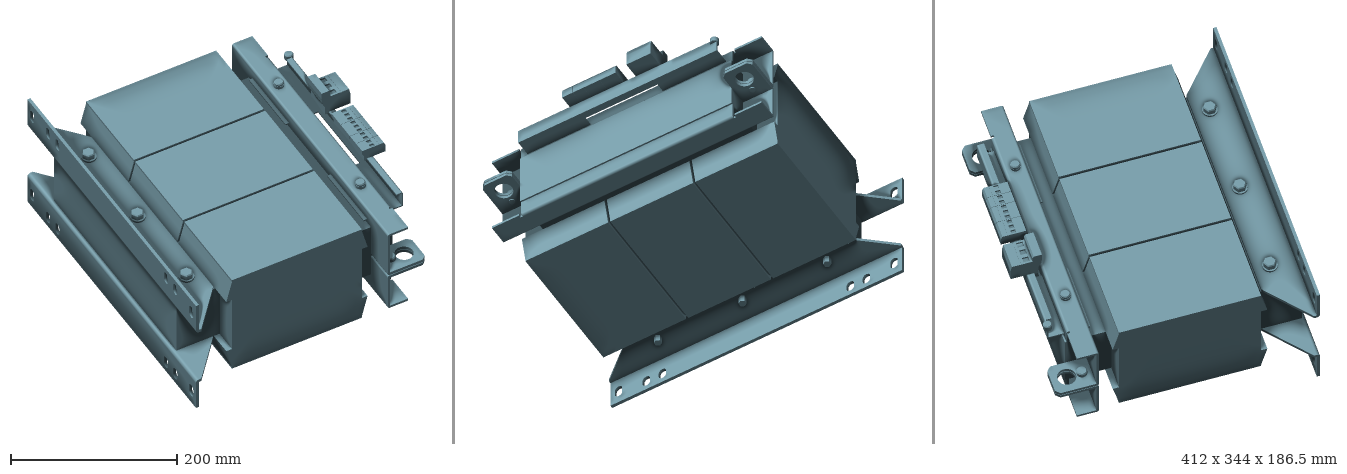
import cadquery as cq


OVERALL_X = 412.0
OVERALL_Y = 344.0
OVERALL_Z = 186.5
HEAD_CHAMFER = 1.2

FOOT_SPAN_Z = 170.0
MID_Z = FOOT_SPAN_Z / 2

CORE_X = 298.3
CORE_Z = 78.5
CORE_START_Y = 5.0
CORE_END_Y = 304.0
CORE_LOW_Z = MID_Z - CORE_Z / 2
CORE_HIGH_Z = MID_Z + CORE_Z / 2

COIL_X = 116.5
COIL_GAP = 3.5
COIL_PITCH = COIL_X + COIL_GAP
COIL_Z = 147.5
COIL_START_Y = 65.5
COIL_END_Y = 245.0
FLAP_REACH = 8.0
FLAP_TOP_DROP = 3.0
FLAP_CLEARANCE = 1.5

FOOT_SHEET = 4.0
FOOT_FLANGE_Y = 56.0
FOOT_STRAIGHT_Y = 7.5
FOOT_BEND = 4.5
END_SLOT_X = 194.5
END_SLOT_EDGE = 19.8
END_SLOT_LENGTH = 17.5
END_SLOT_WIDTH = 10.5
INNER_SLOT_XS = (132.5, 155.5)
INNER_SLOT_EDGE = 15.0
INNER_SLOT_LENGTH = 16.0
INNER_SLOT_WIDTH = 10.5
CORE_BOLT_Y = 36.0
CORE_BOLT_PITCH = 119.5
CORE_BOLT_WASHER = 19.0
CORE_BOLT_WASHER_Z = 2.5
CORE_BOLT_HEAD = 16.5
CORE_BOLT_HEAD_Z = 7.5
CORE_BOLT_SHANK = 6.5
CORE_BOLT_NUT = 10.0
CORE_BOLT_TAIL_Z = 10.0

CLAMP_X = 380.5
CLAMP_SHEET = 3.5
CLAMP_START_Y = 274.0
CLAMP_END_Y = 302.0
CLAMP_LOW_Z = 23.0
CLAMP_HIGH_Z = 146.0
CLAMP_BEND = 3.0
LIP_BEND = 3.7
CLAMP_NOTCH_X = 3.0
CLAMP_NOTCH_Y = 3.7
LUG_SPLIT_Z = 77.5
LUG_SHEET = 4.0
LUG_GAP = 1.0
LUG_END_Y = 328.0
LUG_X = (CLAMP_X - CORE_X) / 2
LUG_CORNER = 5.5
LUG_HOLE = 23.0
LUG_HOLE_Y = 308.0
LUG_MID_X = (CLAMP_X - LUG_X) / 2
LUG_BOLT_Y = 289.2
LUG_BOLT_HEAD = 13.0
LUG_BOLT_HEAD_Z = 5.8
LUG_BOLT_SHANK = 7.5
LUG_BOLT_TAIL_Z = 1.5

BRACKET_SHEET = 1.5
BRACKET_HALF_X = 140.0
BRACKET_INNER_X = 51.0
BRACKET_START_Y = 269.0
BRACKET_END_Y = 323.5
BRACKET_LOW_Z = 129.0
CLAMP_BOLT_X = 99.5
CLAMP_BOLT_Y = 287.5
CLAMP_BOLT_WASHER = 12.8
CLAMP_BOLT_HEAD = 12.0
CLAMP_BOLT_LAYER_Z = 3.7
CLAMP_BOLT_SHANK = 6.0
CLAMP_BOLT_NUT = 10.7
CLAMP_BOLT_NUT_Z = 2.0

RAIL_START_X = -129.0
RAIL_START_Y = 314.5
RAIL_HIGH_Z = 152.0
RAIL_BEND = 2.5
EARTH_SCREW_X = -136.0
EARTH_SCREW_Y = 321.8
EARTH_SCREW_LOW_Z = 145.0
EARTH_SCREW_Z = 8.2
EARTH_SCREW_HEAD = 11.0

BLOCK_TAIL_Y = 314.0
BLOCK_TAIL_Z = 150.0
LARGE_BLOCK_START_X = -59.5
LARGE_BLOCK_X = 34.0
LARGE_BLOCK_TOP_Z = 176.7
LARGE_BLOCK_POLES = 3
LARGE_HOLE_X = 6.5
LARGE_HOLE_Y = 8.0
SMALL_BLOCKS_START_X = -7.5
SMALL_BLOCKS_X = 76.0
SMALL_BLOCK_TOP_Z = 167.3
SMALL_BLOCK_POLES = (3, 3, 2, 2)
SMALL_HOLE_X = 4.5
SMALL_HOLE_Y = 6.0
BLOCK_JOINT = 0.5
WIRE_HOLE_MID_Y = 323.0
WIRE_HOLE_DEPTH = 2.5
GROOVE_Y = 331.0
GROOVE_WIDTH = 1.0
GROOVE_DEPTH = 0.5


def box(x0, x1, y0, y1, z0, z1):
    """Box between two opposite corners."""
    return cq.Workplane("XY").box(x1 - x0, y1 - y0, z1 - z0, centered=False).translate((x0, y0, z0))


def prism_along_x(points, x0, x1):
    """Extrude a closed (Y, Z) outline from x0 to x1."""
    return cq.Workplane("YZ").workplane(offset=x0).polyline(points).close().extrude(x1 - x0)


def disc(x, y, z0, z1, diameter):
    """Round bar along Z."""
    return cq.Workplane("XY").workplane(offset=z0).center(x, y).circle(diameter / 2).extrude(z1 - z0)


def hexagon(x, y, z0, z1, diameter):
    """Hexagonal bar along Z, sized across its corners, with two corners along Y."""
    bar = cq.Workplane("XY").polygon(6, diameter).extrude(z1 - z0)
    return bar.rotate((0, 0, 0), (0, 0, 1), 30).translate((x, y, z0))


def mirror_z(body):
    """Mirror image about the middle plane of the core stack."""
    return body.mirror("XY", (0, 0, MID_Z))


def make_core():
    """Laminated core with a narrow window between neighbouring coils."""
    core = box(-CORE_X / 2, CORE_X / 2, CORE_START_Y, CORE_END_Y, CORE_LOW_Z, CORE_HIGH_Z)
    for side in (-1, 1):
        middle = side * COIL_PITCH / 2
        x0 = middle - COIL_GAP / 2
        window = box(x0, x0 + COIL_GAP, COIL_START_Y, COIL_END_Y, CORE_LOW_Z, CORE_HIGH_Z)
        core = core.cut(window)
    return core


def make_coil(middle_x):
    """Block-shaped coil with sloping flaps at both ends of its two outer faces."""
    x0 = middle_x - COIL_X / 2
    x1 = middle_x + COIL_X / 2
    high_z = MID_Z + COIL_Z / 2
    slope_high_z = high_z - FLAP_TOP_DROP
    slope_low_z = CORE_HIGH_Z + FLAP_CLEARANCE
    coil = box(x0, x1, COIL_START_Y, COIL_END_Y, MID_Z - COIL_Z / 2, high_z)
    flaps = prism_along_x(
        [
            (COIL_START_Y, slope_high_z),
            (COIL_END_Y, slope_high_z),
            (COIL_END_Y + FLAP_REACH, slope_low_z),
            (COIL_START_Y - FLAP_REACH, slope_low_z),
        ],
        x0,
        x1,
    )
    return coil.union(flaps).union(mirror_z(flaps))


def foot_slot(x, edge, length, width):
    """Upright slot through the foot, placed by its distance from the outer edge."""
    return (
        cq.Workplane("XZ")
        .center(x, FOOT_SPAN_Z - edge)
        .slot2D(length, width, 90)
        .extrude(-FOOT_SHEET)
    )


def make_foot():
    """Upper angle foot: a slotted upright and a tapering flange on the core."""
    half = OVERALL_X / 2
    upright = box(-half, half, 0, FOOT_SHEET, CORE_HIGH_Z, FOOT_SPAN_Z)
    flange = (
        cq.Workplane("XY")
        .workplane(offset=CORE_HIGH_Z)
        .polyline(
            [
                (-half, 0),
                (half, 0),
                (half, FOOT_STRAIGHT_Y),
                (CORE_X / 2, FOOT_FLANGE_Y),
                (-CORE_X / 2, FOOT_FLANGE_Y),
                (-half, FOOT_STRAIGHT_Y),
            ]
        )
        .close()
        .extrude(FOOT_SHEET)
    )
    foot = upright.union(flange)
    foot = foot.edges("|X and <Y and <Z").fillet(FOOT_BEND)
    for side in (-1, 1):
        foot = foot.cut(foot_slot(side * END_SLOT_X, END_SLOT_EDGE, END_SLOT_LENGTH, END_SLOT_WIDTH))
        for x in INNER_SLOT_XS:
            foot = foot.cut(foot_slot(side * x, INNER_SLOT_EDGE, INNER_SLOT_LENGTH, INNER_SLOT_WIDTH))
    return foot


def make_core_bolt(x):
    """Bolt through core and feet: washer and hexagon head above, nut below."""
    seat_z = CORE_HIGH_Z + FOOT_SHEET
    under_z = CORE_LOW_Z - FOOT_SHEET
    head_z = seat_z + CORE_BOLT_WASHER_Z
    washer = disc(x, CORE_BOLT_Y, seat_z, head_z, CORE_BOLT_WASHER)
    head = hexagon(x, CORE_BOLT_Y, head_z, head_z + CORE_BOLT_HEAD_Z, CORE_BOLT_HEAD)
    head = head.faces(">Z").chamfer(HEAD_CHAMFER)
    shank = disc(x, CORE_BOLT_Y, under_z, seat_z, CORE_BOLT_SHANK)
    nut = hexagon(x, CORE_BOLT_Y, under_z - CORE_BOLT_TAIL_Z, under_z, CORE_BOLT_NUT)
    return washer.union(head).union(shank).union(nut)


def make_lug(mid_x, z0):
    """Lifting lug with clipped corners and a round eye."""
    z1 = z0 + LUG_SHEET
    lug = box(mid_x - LUG_X / 2, mid_x + LUG_X / 2, CLAMP_START_Y, LUG_END_Y, z0, z1)
    lug = lug.edges("|Z and >Y").chamfer(LUG_CORNER)
    return lug.cut(disc(mid_x, LUG_HOLE_Y, z0, z1, LUG_HOLE))


def make_clamp(direction):
    """Bent clamp whose web runs from a lipped outer flange to a pair of lifting lugs.

    direction is +1 for the clamp above the lug joint and -1 for the one below it.
    """
    half = CLAMP_X / 2
    core_half = CORE_X / 2
    if direction > 0:
        outer_z = CLAMP_HIGH_Z
        core_face_z = CORE_HIGH_Z
    else:
        outer_z = CLAMP_LOW_Z
        core_face_z = CORE_LOW_Z
    flange_inner_z = outer_z - direction * CLAMP_SHEET
    joint_z = LUG_SPLIT_Z + direction * LUG_GAP / 2

    def slab(x0, x1, y0, y1, za, zb):
        return box(x0, x1, y0, y1, min(za, zb), max(za, zb))

    web = slab(-half, half, CLAMP_START_Y, CLAMP_START_Y + CLAMP_SHEET, joint_z, outer_z)
    flange = slab(-half, half, CLAMP_START_Y, CLAMP_END_Y, flange_inner_z, outer_z)
    lip = slab(-core_half, core_half, CLAMP_END_Y - CLAMP_SHEET, CLAMP_END_Y, core_face_z, outer_z)
    clamp = web.union(flange).union(lip)

    for side in (-1, 1):
        x0, x1 = sorted((side * core_half, side * (core_half + CLAMP_NOTCH_X)))
        clamp = clamp.cut(slab(x0, x1, CLAMP_END_Y - CLAMP_NOTCH_Y, CLAMP_END_Y, flange_inner_z, outer_z))
    lip_edge = cq.selectors.NearestToPointSelector((0, CLAMP_END_Y, outer_z))
    clamp = clamp.edges(lip_edge).fillet(LIP_BEND)

    for side in (-1, 1):
        clamp = clamp.union(make_lug(side * LUG_MID_X, min(joint_z, joint_z + direction * LUG_SHEET)))
    return clamp.edges("|X and <Y").fillet(CLAMP_BEND)


def make_lug_bolt(x):
    """Bolt holding the upper and lower lugs together."""
    seat_z = LUG_SPLIT_Z + LUG_GAP / 2 + LUG_SHEET
    under_z = LUG_SPLIT_Z - LUG_GAP / 2 - LUG_SHEET
    head = disc(x, LUG_BOLT_Y, seat_z, seat_z + LUG_BOLT_HEAD_Z, LUG_BOLT_HEAD)
    head = head.faces(">Z").chamfer(HEAD_CHAMFER)
    shank = disc(x, LUG_BOLT_Y, under_z - LUG_BOLT_TAIL_Z, seat_z, LUG_BOLT_SHANK)
    return head.union(shank)


def make_clamp_bolt(x):
    """Bolt joining the upper clamp flange to a terminal bracket."""
    head_z = CLAMP_HIGH_Z + CLAMP_BOLT_LAYER_Z
    washer = disc(x, CLAMP_BOLT_Y, CLAMP_HIGH_Z, head_z, CLAMP_BOLT_WASHER)
    head = disc(x, CLAMP_BOLT_Y, head_z, head_z + CLAMP_BOLT_LAYER_Z, CLAMP_BOLT_HEAD)
    head = head.faces(">Z").chamfer(HEAD_CHAMFER)
    shank = disc(x, CLAMP_BOLT_Y, CORE_HIGH_Z, CLAMP_HIGH_Z, CLAMP_BOLT_SHANK)
    nut = hexagon(x, CLAMP_BOLT_Y, BRACKET_LOW_Z - CLAMP_BOLT_NUT_Z, BRACKET_LOW_Z, CLAMP_BOLT_NUT)
    return washer.union(head).union(shank).union(nut)


def make_bracket():
    """Upright plate on two arms, with a bent rail along its top and an earth screw."""
    plate_y = BRACKET_END_Y - BRACKET_SHEET
    plate = box(-BRACKET_HALF_X, BRACKET_HALF_X, plate_y, BRACKET_END_Y, BRACKET_LOW_Z, RAIL_HIGH_Z)
    rail = box(
        RAIL_START_X,
        BRACKET_HALF_X,
        RAIL_START_Y,
        BRACKET_END_Y,
        RAIL_HIGH_Z - BRACKET_SHEET,
        RAIL_HIGH_Z,
    )
    foot = box(
        -BRACKET_HALF_X,
        BRACKET_HALF_X,
        RAIL_START_Y,
        BRACKET_END_Y,
        BRACKET_LOW_Z,
        BRACKET_LOW_Z + BRACKET_SHEET,
    )
    bracket = plate.union(rail).union(foot)
    for x0 in (-BRACKET_HALF_X, BRACKET_INNER_X):
        x1 = x0 + BRACKET_HALF_X - BRACKET_INNER_X
        arm = box(x0, x1, BRACKET_START_Y, BRACKET_END_Y, BRACKET_LOW_Z, BRACKET_LOW_Z + BRACKET_SHEET)
        bracket = bracket.union(arm)
    bracket = bracket.edges("|X and >Y and >Z").fillet(RAIL_BEND)
    screw = disc(
        EARTH_SCREW_X,
        EARTH_SCREW_Y,
        EARTH_SCREW_LOW_Z,
        EARTH_SCREW_LOW_Z + EARTH_SCREW_Z,
        EARTH_SCREW_HEAD,
    )
    screw = screw.faces(">Z").chamfer(HEAD_CHAMFER)
    return bracket.union(screw)


def add_wire_entries(block, x0, pitch, count, top_z, hole_x, hole_y):
    """Cut a marking groove and a row of wire entries, one per pole, into the top of a block."""
    x1 = x0 + pitch * count
    groove = box(x0, x1, GROOVE_Y, GROOVE_Y + GROOVE_WIDTH, top_z - GROOVE_DEPTH, top_z)
    block = block.cut(groove)
    for pole in range(count):
        mid_x = x0 + pitch * (pole + 0.5)
        hole = box(
            mid_x - hole_x / 2,
            mid_x + hole_x / 2,
            WIRE_HOLE_MID_Y - hole_y / 2,
            WIRE_HOLE_MID_Y + hole_y / 2,
            top_z - WIRE_HOLE_DEPTH,
            top_z,
        )
        block = block.cut(hole)
    return block


def make_large_block():
    """Tall terminal block with a raised back and a tail hooked behind the rail."""
    block = prism_along_x(
        [
            (342.5, LARGE_BLOCK_TOP_Z),
            (316.5, LARGE_BLOCK_TOP_Z),
            (316.5, 183.5),
            (314.8, OVERALL_Z),
            (304.5, OVERALL_Z),
            (304.5, 177.0),
            (305.3, 169.7),
            (309.0, 162.0),
            (309.0, BLOCK_TAIL_Z),
            (BLOCK_TAIL_Y, BLOCK_TAIL_Z),
            (BLOCK_TAIL_Y, RAIL_HIGH_Z),
            (OVERALL_Y, RAIL_HIGH_Z),
            (OVERALL_Y, 169.0),
        ],
        LARGE_BLOCK_START_X,
        LARGE_BLOCK_START_X + LARGE_BLOCK_X,
    )
    pitch = LARGE_BLOCK_X / LARGE_BLOCK_POLES
    return add_wire_entries(
        block, LARGE_BLOCK_START_X, pitch, LARGE_BLOCK_POLES, LARGE_BLOCK_TOP_Z, LARGE_HOLE_X, LARGE_HOLE_Y
    )


def make_small_block(x0, pitch, poles):
    """Low terminal block with a flat top and a tail hooked behind the rail."""
    block = prism_along_x(
        [
            (338.0, SMALL_BLOCK_TOP_Z),
            (307.8, SMALL_BLOCK_TOP_Z),
            (307.8, 162.0),
            (310.5, 156.5),
            (310.5, BLOCK_TAIL_Z),
            (BLOCK_TAIL_Y, BLOCK_TAIL_Z),
            (BLOCK_TAIL_Y, RAIL_HIGH_Z),
            (340.0, RAIL_HIGH_Z),
            (340.0, 162.7),
        ],
        x0,
        x0 + pitch * poles - BLOCK_JOINT,
    )
    return add_wire_entries(block, x0, pitch, poles, SMALL_BLOCK_TOP_Z, SMALL_HOLE_X, SMALL_HOLE_Y)


result = make_core()
for position in (-1, 0, 1):
    result = result.union(make_coil(position * COIL_PITCH))

upper_foot = make_foot()
result = result.union(upper_foot).union(mirror_z(upper_foot))
for position in (-1, 0, 1):
    result = result.union(make_core_bolt(position * CORE_BOLT_PITCH))

result = result.union(make_clamp(1)).union(make_clamp(-1))
result = result.union(make_bracket())
for side in (-1, 1):
    result = result.union(make_lug_bolt(side * LUG_MID_X))
    result = result.union(make_clamp_bolt(side * CLAMP_BOLT_X))

result = result.union(make_large_block())
small_pitch = SMALL_BLOCKS_X / sum(SMALL_BLOCK_POLES)
block_x = SMALL_BLOCKS_START_X
for poles in SMALL_BLOCK_POLES:
    result = result.union(make_small_block(block_x, small_pitch, poles))
    block_x += small_pitch * poles